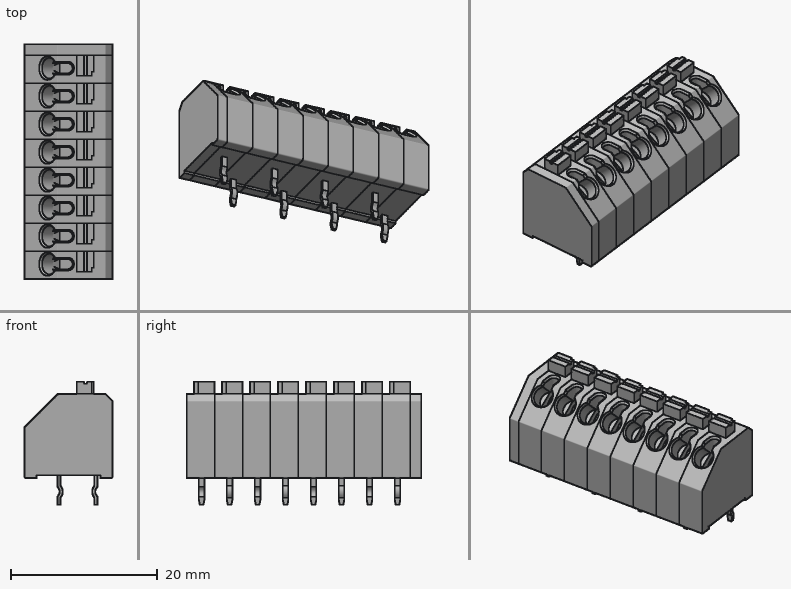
import cadquery as cq
import math

MODULE_COUNT = 8
ROW_LENGTH = 31.98
END_PLATE_WIDTH = 1.5
MODULE_PITCH = (ROW_LENGTH - END_PLATE_WIDTH) / MODULE_COUNT

DEPTH = 12.0
HEIGHT = 11.45
FRONT_SLOPE = 4.5
BACK_CHAMFER = 0.95
FOOT_LENGTH = 1.65
FOOT_HEIGHT = 0.35
EDGE_RADIUS = 0.2

ENTRY_FROM_TOP_SIDE = 1.75
BORE_RADIUS = 1.4
BORE_X = 3.15
BORE_DEPTH = 2.53
END_WALL_ANGLE = 33.0
MOUTH_CHAMFER_DEPTH = 0.35
MOUTH_CHAMFER_ANGLE = 30.0
SLOT_WIDTH = 1.38
SLOT_END_X = 6.55
THROAT_DEPTH = 3.55
RAMP_START_X = 3.85
RAMP_ANGLE = 36.0

BUTTON_X = 7.1
BUTTON_DEPTH = 2.35
BUTTON_WIDTH = 2.8
BUTTON_HEIGHT = 1.7
BUTTON_STEP_X = 0.3
BUTTON_STEP_Y = 0.58
GROOVE_CENTER_X = 8.3
GROOVE_TOP_WIDTH = 0.48
GROOVE_FLOOR_WIDTH = 0.3
GROOVE_DEPTH = 0.3

PIN_LENGTH = 3.65
PIN_WIDTH = 0.8
PIN_THICKNESS = 0.45
PIN_TIP_WIDTH = 0.5
PIN_TIP_LENGTH = 0.7
FRONT_PIN_X = 4.7
BACK_PIN_X = 9.72
KINK_DEPTH = 0.305
KINK_Z = -1.85
KINK_RADIUS = 1.12
KINK_ANGLE = math.radians(30)

SLOPE_BASE_Z = HEIGHT - FRONT_SLOPE
BORE_Z = SLOPE_BASE_Z + BORE_X
DIAGONAL = math.sqrt(2)


def prism_along_y(outline, y_start, y_end):
    """Extrude a closed XZ wire between two Y positions."""
    return outline.extrude(y_start - y_end).translate((0, y_start, 0))


def housing_block(y_start, width):
    """Plain housing slice with rounded long edges and a recess between its feet."""
    outline = cq.Workplane("XZ").polyline([
        (0, 0),
        (0, SLOPE_BASE_Z),
        (FRONT_SLOPE, HEIGHT),
        (DEPTH - BACK_CHAMFER, HEIGHT),
        (DEPTH, HEIGHT - BACK_CHAMFER),
        (DEPTH, 0),
    ]).close()
    block = prism_along_y(outline, y_start, y_start + width).edges("|Y").fillet(EDGE_RADIUS)
    recess = (cq.Workplane("XY").box(DEPTH - 2 * FOOT_LENGTH, width, FOOT_HEIGHT, centered=False)
              .translate((FOOT_LENGTH, y_start, 0)))
    return block.cut(recess)


def wire_entry(y_axis):
    """Space of the bore, its narrow throat, the slot and the chamfered mouths."""
    slope_plane = cq.Plane(origin=(BORE_X, y_axis, BORE_Z), xDir=(1, 0, 1), normal=(-1, 0, 1))
    top_plane = cq.Plane(origin=(BORE_X, y_axis, HEIGHT))
    slot_run = SLOT_END_X - SLOT_WIDTH / 2 - BORE_X
    y_start = y_axis - MODULE_PITCH
    y_end = y_axis + MODULE_PITCH

    full_bore = cq.Workplane(slope_plane).circle(BORE_RADIUS).extrude(-2 * THROAT_DEPTH)
    slot = (cq.Workplane(top_plane).center(slot_run / 2, 0)
            .slot2D(slot_run + SLOT_WIDTH, SLOT_WIDTH).extrude(-HEIGHT))

    end_x = BORE_X + BORE_DEPTH / DIAGONAL
    end_z = BORE_Z - BORE_DEPTH / DIAGONAL
    end_rise = math.tan(math.radians(END_WALL_ANGLE))
    before_end_wall = prism_along_y(
        cq.Workplane("XZ").polyline([
            (0, end_z - end_x * end_rise),
            (DEPTH, end_z + (DEPTH - end_x) * end_rise),
            (DEPTH, 2 * HEIGHT),
            (0, 2 * HEIGHT),
        ]).close(), y_start, y_end)

    above_bore_axis = prism_along_y(
        cq.Workplane("XZ").polyline([
            (BORE_X, BORE_Z),
            (BORE_X, HEIGHT),
            (DEPTH, HEIGHT),
            (DEPTH, BORE_Z + BORE_X - DEPTH),
        ]).close(), y_start, y_end)

    ramp_start_z = BORE_Z + BORE_X - DIAGONAL * BORE_RADIUS - RAMP_START_X
    ramp_fall = math.tan(math.radians(RAMP_ANGLE))
    wall_offset = SLOPE_BASE_Z - DIAGONAL * THROAT_DEPTH
    ramp_end_x = (ramp_start_z + ramp_fall * RAMP_START_X - wall_offset) / (1 + ramp_fall)
    before_throat_wall = prism_along_y(
        cq.Workplane("XZ").polyline([
            (0, ramp_start_z + ramp_fall * RAMP_START_X),
            (ramp_end_x, ramp_end_x + wall_offset),
            (DEPTH, DEPTH + wall_offset),
            (0, DEPTH + wall_offset),
        ]).close(), y_start, y_end)

    bore = full_bore.intersect(before_end_wall)
    throat = full_bore.intersect(slot).union(slot.intersect(above_bore_axis)).intersect(before_throat_wall)
    cavity = bore.union(throat)

    chamfer_width = MOUTH_CHAMFER_DEPTH * math.tan(math.radians(MOUTH_CHAMFER_ANGLE))
    mouth_width = SLOT_WIDTH + 2 * chamfer_width
    bore_mouth = (cq.Workplane(slope_plane).circle(BORE_RADIUS + chamfer_width)
                  .extrude(-MOUTH_CHAMFER_DEPTH, taper=MOUTH_CHAMFER_ANGLE))
    top_mouth = (cq.Workplane(top_plane).center(slot_run / 2, 0)
                 .slot2D(slot_run + mouth_width, mouth_width)
                 .extrude(-MOUTH_CHAMFER_DEPTH, taper=MOUTH_CHAMFER_ANGLE))
    slope_run = DIAGONAL * (FRONT_SLOPE - BORE_X)
    slope_mouth = (cq.Workplane(slope_plane).center(slope_run / 2, 0)
                   .slot2D(slope_run + mouth_width, mouth_width)
                   .extrude(-MOUTH_CHAMFER_DEPTH, taper=MOUTH_CHAMFER_ANGLE))
    return cavity.union(bore_mouth).union(top_mouth).union(slope_mouth)


def button(y_top):
    """Grooved button with one stepped corner, flush with the module's +Y face."""
    block = cq.Workplane("XY", origin=(BUTTON_X, y_top, HEIGHT)).polyline([
        (0, 0),
        (0, -BUTTON_WIDTH),
        (BUTTON_DEPTH - BUTTON_STEP_X, -BUTTON_WIDTH),
        (BUTTON_DEPTH - BUTTON_STEP_X, BUTTON_STEP_Y - BUTTON_WIDTH),
        (BUTTON_DEPTH, BUTTON_STEP_Y - BUTTON_WIDTH),
        (BUTTON_DEPTH, 0),
    ]).close().extrude(BUTTON_HEIGHT)
    top = HEIGHT + BUTTON_HEIGHT
    groove = prism_along_y(
        cq.Workplane("XZ").polyline([
            (GROOVE_CENTER_X - GROOVE_TOP_WIDTH / 2, top),
            (GROOVE_CENTER_X - GROOVE_FLOOR_WIDTH / 2, top - GROOVE_DEPTH),
            (GROOVE_CENTER_X + GROOVE_FLOOR_WIDTH / 2, top - GROOVE_DEPTH),
            (GROOVE_CENTER_X + GROOVE_TOP_WIDTH / 2, top),
        ]).close(), y_top - BUTTON_WIDTH, y_top)
    return block.cut(groove)


def kink_points(face_x, radius):
    """Corner, arc start, arc middle, arc end and corner of one kinked pin face, going down."""
    center_x = PIN_THICKNESS / 2 + KINK_DEPTH - KINK_RADIUS
    arc_x = center_x + radius * math.cos(KINK_ANGLE)
    arc_half_height = radius * math.sin(KINK_ANGLE)
    corner_half_height = arc_half_height + (arc_x - face_x) / math.tan(KINK_ANGLE)
    return [
        (face_x, KINK_Z + corner_half_height),
        (arc_x, KINK_Z + arc_half_height),
        (center_x + radius, KINK_Z),
        (arc_x, KINK_Z - arc_half_height),
        (face_x, KINK_Z - corner_half_height),
    ]


def pin(x, y_axis, bulge_direction):
    """Kinked pin with a tapered tip; the bulge points to +X (1) or -X (-1)."""
    half = PIN_THICKNESS / 2
    outer = kink_points(half, KINK_RADIUS)
    inner = kink_points(-half, KINK_RADIUS - PIN_THICKNESS)[::-1]
    side = (cq.Workplane("XZ").moveTo(half, FOOT_HEIGHT)
            .lineTo(*outer[0]).lineTo(*outer[1]).threePointArc(outer[2], outer[3]).lineTo(*outer[4])
            .lineTo(half, -PIN_LENGTH).lineTo(-half, -PIN_LENGTH)
            .lineTo(*inner[0]).lineTo(*inner[1]).threePointArc(inner[2], inner[3]).lineTo(*inner[4])
            .lineTo(-half, FOOT_HEIGHT).close())
    strip = prism_along_y(side, -PIN_WIDTH / 2, PIN_WIDTH / 2)
    taper_z = PIN_TIP_LENGTH - PIN_LENGTH
    front_outline = cq.Workplane("YZ").polyline([
        (-PIN_WIDTH / 2, FOOT_HEIGHT),
        (-PIN_WIDTH / 2, taper_z),
        (-PIN_TIP_WIDTH / 2, -PIN_LENGTH),
        (PIN_TIP_WIDTH / 2, -PIN_LENGTH),
        (PIN_WIDTH / 2, taper_z),
        (PIN_WIDTH / 2, FOOT_HEIGHT),
    ]).close().extrude(DEPTH, both=True)
    blade = strip.intersect(front_outline)
    if bulge_direction < 0:
        blade = blade.mirror("YZ")
    return blade.translate((x, y_axis, 0))


def module(index):
    """One module, counted from the end plate towards -Y."""
    y_top = ROW_LENGTH - END_PLATE_WIDTH - index * MODULE_PITCH
    y_axis = y_top - ENTRY_FROM_TOP_SIDE
    if index % 2 == 0:
        solder_pin = pin(FRONT_PIN_X, y_axis, 1)
    else:
        solder_pin = pin(BACK_PIN_X, y_axis, -1)
    block = housing_block(y_top - MODULE_PITCH, MODULE_PITCH)
    return block.cut(wire_entry(y_axis)).union(button(y_top)).union(solder_pin)


modules = [module(index) for index in range(MODULE_COUNT)]
end_plate = housing_block(ROW_LENGTH - END_PLATE_WIDTH, END_PLATE_WIDTH)

result = cq.Compound.makeCompound([*[body.val() for body in modules], end_plate.val()])